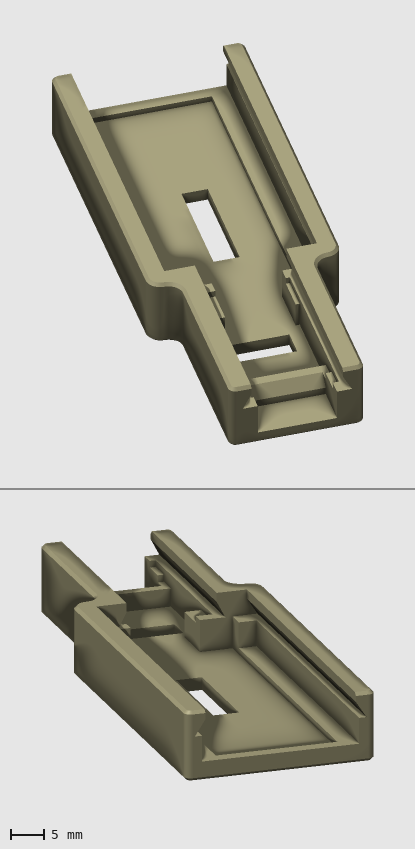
import cadquery as cq

length = 80.0
wide_width = 30.0
narrow_width = 21.0
height = 11.0
corner_radius = 1.1
edge_chamfer = 0.5
shoulder_radius = (wide_width - narrow_width) / 4
shoulder_x = 52.9

floor_z = 3.0
recess_z = 2.0
bar_z = 4.9
ledge_z = 7.0
lip_z = 9.6
notch_z = 6.0

bay_end = 49.8
bay_width = 24.8
bay_lip_width = 23.8
bay_undercut = 1.7
recess_start = 1.9
recess_width = 19.2
post_length = 2.9

channel_width = 14.2
bar_start = 70.8
channel_undercut = 1.4

block_length = 7.1
block_notch_start = 1.9
far_block_y = 6.5
near_block_y = -4.5

bar_bevel_start = 72.3
seat_width = 12.3
bar_end = 74.0
seat_notch_end = 77.8

long_slot_length = 17.0
long_slot_width = 4.1
long_slot_center = (30.4, 1.0)
cross_slot_length = 4.2
cross_slot_width = 9.9
cross_slot_center = (60.9, 0.0)


def box(x_range, y_range, z_range):
    """Axis-aligned box between the given limits."""
    size = [high - low for low, high in (x_range, y_range, z_range)]
    corner = (x_range[0], y_range[0], z_range[0])
    return cq.Workplane("XY").box(*size, centered=False).translate(corner)


def centered_box(x_range, width, z_range):
    """Box that is symmetric about the XZ plane."""
    return box(x_range, (-width / 2, width / 2), z_range)


def outer_body():
    half_wide = wide_width / 2
    half_narrow = narrow_width / 2
    r = shoulder_radius
    outline = (
        cq.Workplane("XY")
        .moveTo(0, -half_wide)
        .lineTo(shoulder_x - r, -half_wide)
        .radiusArc((shoulder_x, -half_wide + r), -r)
        .radiusArc((shoulder_x + r, -half_narrow), r)
        .lineTo(length, -half_narrow)
        .lineTo(length, half_narrow)
        .lineTo(shoulder_x + r, half_narrow)
        .radiusArc((shoulder_x, half_wide - r), r)
        .radiusArc((shoulder_x - r, half_wide), -r)
        .lineTo(0, half_wide)
        .close()
    )
    body = outline.extrude(height)
    body = body.edges("|Z and (<X or >X)").fillet(corner_radius)
    return body.faces("<Z or >Z").edges().chamfer(edge_chamfer)


def guide_groove(x_start, x_end, lip_width, undercut):
    """Dovetail-like opening from the ledge up through the top."""
    half_lip = lip_width / 2
    half_ledge = half_lip + undercut
    profile = [
        (-half_ledge, ledge_z),
        (half_ledge, ledge_z),
        (half_lip, lip_z),
        (half_lip, height),
        (-half_lip, height),
        (-half_lip, lip_z),
    ]
    section = cq.Workplane("YZ").workplane(offset=x_start).polyline(profile).close()
    return section.extrude(x_end - x_start)


def wide_bay():
    """Bay with its guide groove, leaving a post in each inner corner."""
    post_start = bay_end - post_length
    bay = centered_box((0, post_start), bay_width, (floor_z, ledge_z))
    between_posts = centered_box((recess_start, bay_end), recess_width, (recess_z, ledge_z))
    return bay.union(between_posts).union(guide_groove(0, bay_end, bay_lip_width, bay_undercut))


def entrance_blocks():
    """Blocks that narrow the channel, each with a lowered rear top."""
    block_end = bay_end + block_length
    half_channel = channel_width / 2
    notch_start = bay_end + block_notch_start
    blocks = cq.Workplane("XY")
    for y_range in ((far_block_y, half_channel), (-half_channel, near_block_y)):
        blocks = blocks.add(box((bay_end, notch_start), y_range, (recess_z, ledge_z)))
        blocks = blocks.add(box((notch_start, block_end), y_range, (recess_z, notch_z)))
    return blocks.combine()


def connector_seat():
    """Seat behind the bar, with a bevel as wide as the seat on the bar's edge."""
    bevel_bottom_z = bar_z - (bar_end - bar_bevel_start)
    profile = [
        (bar_bevel_start, bar_z),
        (bar_end, bevel_bottom_z),
        (bar_end, recess_z),
        (length, recess_z),
        (length, ledge_z),
        (bar_bevel_start, ledge_z),
    ]
    return cq.Workplane("XZ").polyline(profile).close().extrude(seat_width / 2, both=True)


def narrow_bay():
    """Channel around the entrance blocks, connector seat and guide groove."""
    channel = centered_box((bay_end, bar_start), channel_width, (recess_z, ledge_z))
    over_bar = centered_box((bar_start, bar_end), channel_width, (bar_z, ledge_z))
    seat_notches = centered_box((bar_end, seat_notch_end), channel_width, (notch_z, ledge_z))
    groove = guide_groove(bay_end, length, channel_width, channel_undercut)
    bay = channel.cut(entrance_blocks())
    return bay.union(over_bar).union(connector_seat()).union(seat_notches).union(groove)


def through_slot(center, slot_length, slot_width):
    return cq.Workplane("XY").center(*center).rect(slot_length, slot_width).extrude(height)


result = (
    outer_body()
    .cut(wide_bay())
    .cut(narrow_bay())
    .cut(through_slot(long_slot_center, long_slot_length, long_slot_width))
    .cut(through_slot(cross_slot_center, cross_slot_length, cross_slot_width))
)